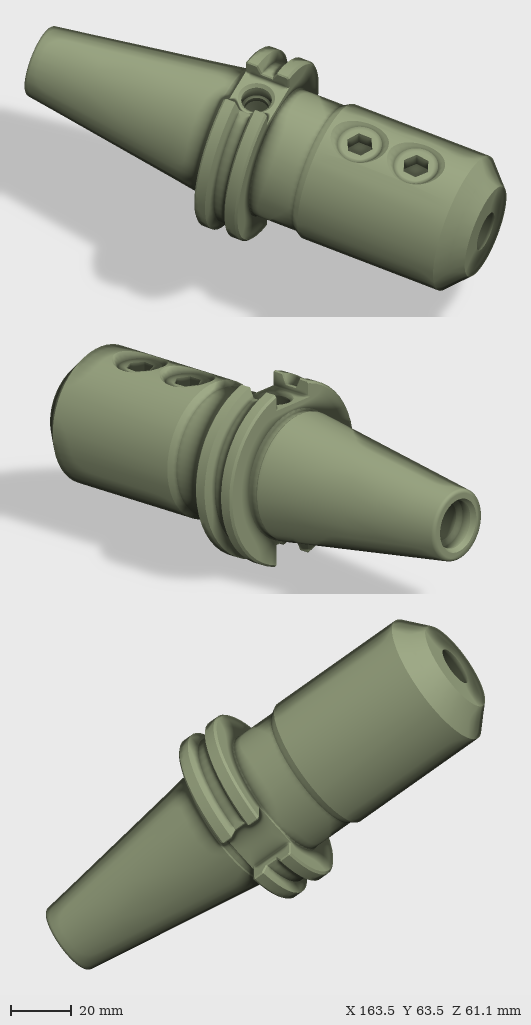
import cadquery as cq
import math


total_length = 163.5
gauge_x = 68.3
flange_start = 71.6
flange_end = 87.5
neck_end = 103.3
nose_start = 106.0

taper_ratio = 7 / 24
gauge_diameter = 44.5
relief_diameter = 44.0
flange_diameter = 63.5
neck_diameter = 44.5
nose_diameter = 47.5

shank_end_fillet = 1.3
relief_step_length = 0.5
relief_flare_length = 1.0
relief_flare_height = 0.7
flange_chamfer = 0.74
neck_fillet = 0.5
nose_chamfer = 7.8

groove_center_x = 79.5
groove_mouth_width = 7.2
groove_floor_width = 4.0
groove_floor_diameter = 56.7

bore_diameter = 13.4
counterbore_diameter = 16.5
counterbore_depth = 5.0
bore_mouth_diameter = 18.5
bore_mouth_depth = 1.8

slot_width = 16.2
slot_fillet = 0.5
slot_edge_chamfer = 0.5
top_slot_floor = 25.0
bottom_slot_floor = 22.5

pocket_diameter = 10.1
pocket_mouth_diameter = 12.3
pocket_depth = 5.2
drill_diameter = 8.0
drill_depth = 1.6
drill_point_angle = 118.0

screw_diameter = 14.7
screw_top = 21.3
screw_length = 11.5
first_screw_x = 117.4
screw_pitch = 20.6
screw_positions = [first_screw_x, first_screw_x + screw_pitch]
hex_sides = 6
hex_across_flats = 8.0
hex_depth = 4.9
socket_turns = [0.0, -7.0]


def taper_radius(x):
    """Radius of the shank taper at a place along the axis."""
    return (gauge_diameter - (gauge_x - x) * taper_ratio) / 2


def make_turned_blank():
    """Shank, flange, neck and nose revolved about the X axis."""
    flange_radius = flange_diameter / 2
    relief_radius = relief_diameter / 2
    neck_radius = neck_diameter / 2
    nose_radius = nose_diameter / 2
    blank = (
        cq.Workplane("XY")
        .moveTo(0, 0)
        .lineTo(0, taper_radius(0))
        .lineTo(gauge_x, taper_radius(gauge_x))
        .lineTo(gauge_x + relief_step_length, relief_radius)
        .lineTo(flange_start - relief_flare_length, relief_radius)
        .tangentArcPoint((relief_flare_length, relief_flare_height))
        .lineTo(flange_start, flange_radius - flange_chamfer)
        .lineTo(flange_start + flange_chamfer, flange_radius)
        .lineTo(groove_center_x - groove_mouth_width / 2, flange_radius)
        .lineTo(groove_center_x - groove_floor_width / 2, groove_floor_diameter / 2)
        .lineTo(groove_center_x + groove_floor_width / 2, groove_floor_diameter / 2)
        .lineTo(groove_center_x + groove_mouth_width / 2, flange_radius)
        .lineTo(flange_end - flange_chamfer, flange_radius)
        .lineTo(flange_end, flange_radius - flange_chamfer)
        .lineTo(flange_end, neck_radius + neck_fillet)
        .tangentArcPoint((neck_fillet, -neck_fillet))
        .lineTo(neck_end, neck_radius)
        .lineTo(nose_start, nose_radius)
        .lineTo(total_length - nose_chamfer, nose_radius)
        .lineTo(total_length, nose_radius - nose_chamfer)
        .lineTo(total_length, 0)
        .close()
        .revolve(360, (0, 0, 0), (1, 0, 0))
    )
    return blank.faces("<X").edges().fillet(shank_end_fillet)


def make_bore():
    """Through bore with a short counterbore and conical steps at the shank end."""
    bore_radius = bore_diameter / 2
    counterbore_radius = counterbore_diameter / 2
    mouth_radius = bore_mouth_diameter / 2
    step_length = counterbore_radius - bore_radius
    return (
        cq.Workplane("XY")
        .moveTo(0, 0)
        .lineTo(0, mouth_radius)
        .lineTo(bore_mouth_depth, counterbore_radius)
        .lineTo(counterbore_depth, counterbore_radius)
        .lineTo(counterbore_depth + step_length, bore_radius)
        .lineTo(total_length, bore_radius)
        .lineTo(total_length, 0)
        .close()
        .revolve(360, (0, 0, 0), (1, 0, 0))
    )


def make_drive_slot(floor_height):
    """Cutter for a slot across the flange, open upward from its floor."""
    return (
        cq.Workplane("XY")
        .box(flange_end - flange_start, slot_width, flange_diameter, centered=(False, True, False))
        .translate((flange_start, 0, floor_height))
    )


def slot_wall_edges(holder):
    """Floor edge of every slot wall, and all the other wall edges."""
    slot_walls = holder.faces(cq.selectors.BoxSelector(
        (flange_start, -slot_width, -flange_diameter),
        (flange_end, slot_width, flange_diameter),
    )).faces("|Y")
    floor_edges = []
    outer_edges = []
    for wall in slot_walls.vals():
        edges = sorted(wall.Edges(), key=lambda edge: abs(edge.Center().z))
        floor_edges.append(edges[0])
        outer_edges.extend(edges[1:])
    return floor_edges, outer_edges


def finish_slots(holder):
    """Chamfer the outer edges of the slot walls, then round their floor corners."""
    _, outer_edges = slot_wall_edges(holder)
    holder = holder.newObject(outer_edges).chamfer(slot_edge_chamfer)
    floor_edges, _ = slot_wall_edges(holder)
    return holder.newObject(floor_edges).fillet(slot_fillet)


def make_slot_pocket():
    """Countersunk flat-bottomed pocket with a drilled hole in its floor."""
    pocket_radius = pocket_diameter / 2
    mouth_radius = pocket_mouth_diameter / 2
    drill_radius = drill_diameter / 2
    mouth_depth = mouth_radius - pocket_radius
    drill_end = pocket_depth + drill_depth
    point_length = drill_radius / math.tan(math.radians(drill_point_angle / 2))
    return (
        cq.Workplane("XZ")
        .moveTo(0, 0)
        .lineTo(mouth_radius, 0)
        .lineTo(pocket_radius, -mouth_depth)
        .lineTo(pocket_radius, -pocket_depth)
        .lineTo(drill_radius, -pocket_depth)
        .lineTo(drill_radius, -drill_end)
        .lineTo(0, -drill_end - point_length)
        .close()
        .revolve(360, (0, 0, 0), (0, 1, 0))
        .translate(((flange_start + flange_end) / 2, 0, top_slot_floor))
    )


def make_screw_hole(x):
    """Blind hole that fits a screw, with a 45 degree countersink above it."""
    screw_radius = screw_diameter / 2
    screw_bottom = screw_top - screw_length
    sink_height = nose_diameter / 2 - screw_top
    return (
        cq.Workplane("XZ")
        .moveTo(0, screw_bottom)
        .lineTo(screw_radius, screw_bottom)
        .lineTo(screw_radius, screw_top)
        .lineTo(screw_radius + sink_height, screw_top + sink_height)
        .lineTo(0, screw_top + sink_height)
        .close()
        .revolve(360, (0, 0, 0), (0, 1, 0))
        .translate((x, 0, 0))
    )


def make_holder():
    """Complete tool holder."""
    holder = make_turned_blank().cut(make_bore())
    holder = holder.cut(make_drive_slot(top_slot_floor))
    bottom_slot = make_drive_slot(bottom_slot_floor).rotate((0, 0, 0), (1, 0, 0), 180)
    holder = finish_slots(holder.cut(bottom_slot))
    holder = holder.cut(make_slot_pocket())
    for x in screw_positions:
        holder = holder.cut(make_screw_hole(x))
    return holder


def make_screw(x, socket_turn):
    """Clamping screw with a hexagon socket in its top face."""
    hex_across_corners = hex_across_flats / math.cos(math.pi / hex_sides)
    return (
        cq.Workplane("XY")
        .circle(screw_diameter / 2)
        .extrude(screw_length)
        .faces(">Z")
        .workplane()
        .transformed(rotate=(0, 0, socket_turn))
        .polygon(hex_sides, hex_across_corners)
        .cutBlind(-hex_depth)
        .translate((x, 0, screw_top - screw_length))
    )


holder = make_holder()
screws = []
for x, turn in zip(screw_positions, socket_turns):
    screws.append(make_screw(x, turn).solids().val())

result = cq.Compound.makeCompound([holder.solids().val(), *screws])